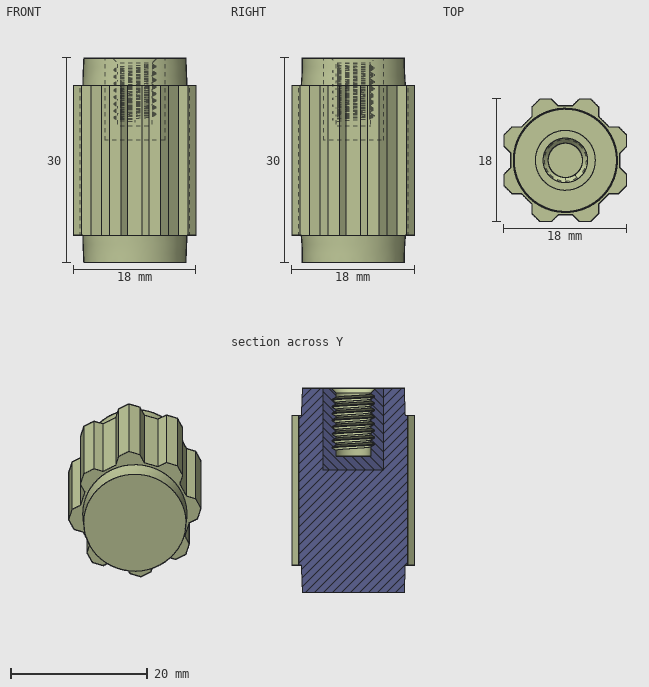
import cadquery as cq
import math

TOTAL_HEIGHT = 30.0
ACROSS_FLATS = 18.0
APOTHEM = ACROSS_FLATS / 2
SIDE_COUNT = 8
SIDE_ANGLE = 360.0 / SIDE_COUNT

BOSS_HEIGHT = 4.0
GRIP_HEIGHT = TOTAL_HEIGHT - 2 * BOSS_HEIGHT
BOSS_BASE_RADIUS = 7.65
BOSS_END_RADIUS = 7.5

FLUTE_DEPTH = 1.0
FLUTE_FLOOR_WIDTH = 2.1
FLUTE_MOUTH_WIDTH = FLUTE_FLOOR_WIDTH + 2 * FLUTE_DEPTH

INSERT_DIAMETER = 8.8
INSERT_LENGTH = 12.0
HOLE_DEPTH = 10.0
THREAD_MINOR_DIAMETER = 5.05
THREAD_MAJOR_DIAMETER = 6.15
COUNTERSINK_DIAMETER = 6.55
COUNTERSINK_DEPTH = (COUNTERSINK_DIAMETER - THREAD_MINOR_DIAMETER) / 2

PITCH = 3.0 / 3
GROOVE_MOUTH_WIDTH = 0.75 * PITCH
GROOVE_ROOT_WIDTH = PITCH / 8
GROOVE_INNER_OVERLAP = 0.05
GROOVE_END_MARGIN = PITCH / 3
THREAD_START_ANGLE = 270.0


def octagon_grip():
    """Octagonal prism with a trapezoidal flute cut along every side."""
    floor_apothem = APOTHEM - FLUTE_DEPTH
    corner_half_side = APOTHEM * math.tan(math.radians(SIDE_ANGLE / 2))
    side_points = [
        (APOTHEM, -FLUTE_MOUTH_WIDTH / 2),
        (floor_apothem, -FLUTE_FLOOR_WIDTH / 2),
        (floor_apothem, FLUTE_FLOOR_WIDTH / 2),
        (APOTHEM, FLUTE_MOUTH_WIDTH / 2),
        (APOTHEM, corner_half_side),
    ]
    outline = []
    for side in range(SIDE_COUNT):
        turn = math.radians(side * SIDE_ANGLE)
        for x, y in side_points:
            turned_x = x * math.cos(turn) - y * math.sin(turn)
            turned_y = x * math.sin(turn) + y * math.cos(turn)
            outline.append((turned_x, turned_y))
    return cq.Workplane("XY", origin=(0, 0, BOSS_HEIGHT)).polyline(outline).close().extrude(GRIP_HEIGHT)


def boss_core():
    """Round core whose two ends taper slightly as they leave the grip."""
    half_profile = [
        (0, 0),
        (BOSS_END_RADIUS, 0),
        (BOSS_BASE_RADIUS, BOSS_HEIGHT),
        (BOSS_BASE_RADIUS, TOTAL_HEIGHT - BOSS_HEIGHT),
        (BOSS_END_RADIUS, TOTAL_HEIGHT),
        (0, TOTAL_HEIGHT),
    ]
    return cq.Workplane("XZ").polyline(half_profile).close().revolve(360, (0, 0), (0, 1))


def insert_blank():
    """Plain cylinder that fills the insert's recess."""
    return (
        cq.Workplane("XY", origin=(0, 0, TOTAL_HEIGHT - INSERT_LENGTH))
        .circle(INSERT_DIAMETER / 2)
        .extrude(INSERT_LENGTH)
    )


def countersunk_hole():
    """Blind hole at the thread's minor diameter with a 45-degree countersink."""
    hole_radius = THREAD_MINOR_DIAMETER / 2
    countersink_radius = COUNTERSINK_DIAMETER / 2
    half_profile = [
        (0, TOTAL_HEIGHT - HOLE_DEPTH),
        (hole_radius, TOTAL_HEIGHT - HOLE_DEPTH),
        (hole_radius, TOTAL_HEIGHT - COUNTERSINK_DEPTH),
        (countersink_radius, TOTAL_HEIGHT),
        (0, TOTAL_HEIGHT),
    ]
    return cq.Workplane("XZ").polyline(half_profile).close().revolve(360, (0, 0), (0, 1))


def thread_groove():
    """Left-hand helical groove running from near the hole floor up to the countersink."""
    groove_bottom = TOTAL_HEIGHT - HOLE_DEPTH + PITCH
    groove_top = TOTAL_HEIGHT - COUNTERSINK_DEPTH - GROOVE_END_MARGIN
    minor_radius = THREAD_MINOR_DIAMETER / 2
    major_radius = THREAD_MAJOR_DIAMETER / 2
    flank_slope = (GROOVE_MOUTH_WIDTH - GROOVE_ROOT_WIDTH) / (major_radius - minor_radius)
    inner_width = GROOVE_MOUTH_WIDTH + GROOVE_INNER_OVERLAP * flank_slope
    inner_radius = minor_radius - GROOVE_INNER_OVERLAP
    tooth = [
        (inner_radius, -inner_width / 2),
        (major_radius, -GROOVE_ROOT_WIDTH / 2),
        (major_radius, GROOVE_ROOT_WIDTH / 2),
        (inner_radius, inner_width / 2),
    ]
    path = cq.Wire.makeHelix(PITCH, groove_top - groove_bottom, minor_radius, lefthand=True)
    groove = cq.Workplane("XZ").polyline(tooth).close().sweep(cq.Workplane(obj=path), isFrenet=True)
    return groove.rotate((0, 0, 0), (0, 0, 1), THREAD_START_ANGLE).translate((0, 0, groove_bottom))


housing = octagon_grip().union(boss_core()).cut(insert_blank())
insert = insert_blank().cut(countersunk_hole()).cut(thread_groove())

result = cq.Compound.makeCompound([housing.solids().val(), insert.solids().val()])